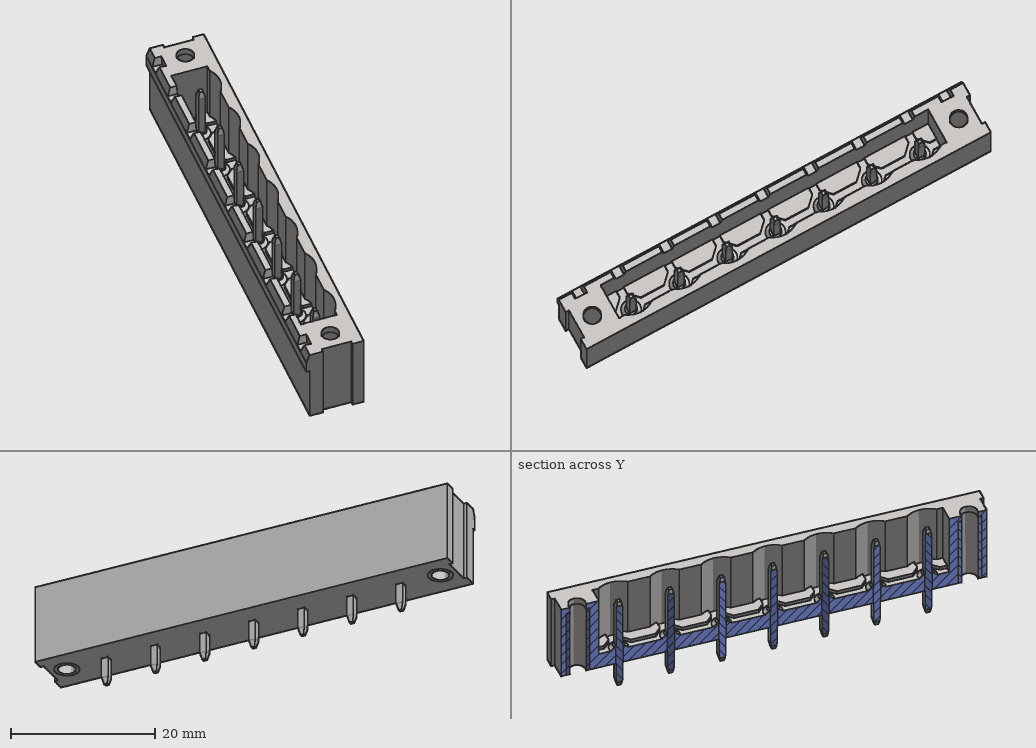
import cadquery as cq
import math


length = 63.9
height = 11.95
back_y = 3.85
front_y = -4.15

lip_y = -4.65
lip_height = 3.15
lip_chamfer_height = 1.35

end_recess_depth = 0.5
end_recess_width = 4.35

pin_count = 7
pitch = 7.6
pin_xs = [(i - (pin_count - 1) / 2) * pitch for i in range(pin_count)]

cavity_length = 51.8
cavity_front_y = -3.2
cavity_back_y = 2.1
scallop_radius = 3.7
scallop_back_y = 2.8
scallop_center_y = scallop_back_y - scallop_radius
floor_z = 3.0

groove_depth = 0.5
groove_front_y = -0.75
groove_back_y = 0.4
front_slot_width = 1.15
back_slot_width = 1.9
flare_width = 3.95

collar_base_diameter = 2.8
collar_top_diameter = 1.7
collar_height = 0.5

notch_top_width = 1.9
notch_bottom_width = 1.3
notch_depth = 1.3

mount_x = 28.95
mount_xs = [-mount_x, mount_x]
bore_diameter = 2.5
sleeve_diameter = 3.5
sleeve_top_z = height - 1.0

pin_width = 1.0
pin_tip_width = 0.5
pin_taper_length = 1.0
pin_bottom_z = -4.0
pin_top_z = height - 1.15


def box_between(x_min, x_max, y_min, y_max, z_min, z_max):
    """Box given by its limits along each axis."""
    return (
        cq.Workplane("XY", origin=((x_min + x_max) / 2, (y_min + y_max) / 2, z_min))
        .rect(x_max - x_min, y_max - y_min)
        .extrude(z_max - z_min)
    )


def make_block():
    """Housing profile with the chamfered lip, recessed at both ends."""
    lip_bottom_z = height - lip_height
    chamfer_bottom_z = height - lip_chamfer_height
    profile = [
        (back_y, 0),
        (back_y, height),
        (front_y, height),
        (lip_y, chamfer_bottom_z),
        (lip_y, lip_bottom_z),
        (front_y, lip_bottom_z),
        (front_y, 0),
    ]
    block = cq.Workplane("YZ").polyline(profile).close().extrude(length / 2, both=True)
    for side in (-1, 1):
        recess = cq.Workplane("XY").center(side * length / 2, 0).rect(2 * end_recess_depth, end_recess_width)
        block = block.cut(recess.extrude(height))
    return block


def make_cavity():
    """Straight-sided pocket with a round scallop in the back wall behind each pin."""
    half_length = cavity_length / 2
    cavity = box_between(-half_length, half_length, cavity_front_y, cavity_back_y, floor_z, height)
    for x in pin_xs:
        round_post = (
            cq.Workplane("XY", origin=(x, scallop_center_y, floor_z))
            .circle(scallop_radius)
            .extrude(height - floor_z)
        )
        wall_zone = box_between(
            x - scallop_radius, x + scallop_radius, cavity_back_y, scallop_back_y, floor_z, height
        )
        scallop = round_post.intersect(wall_zone)
        cavity = cavity.union(scallop)
    return cavity


def make_floor_grooves():
    """Groove along the row, flared around each pin with slots to the front and back walls."""
    groove_z = floor_z - groove_depth
    half_length = cavity_length / 2
    grooves = box_between(-half_length, half_length, groove_front_y, groove_back_y, groove_z, floor_z)
    front_half = front_slot_width / 2
    back_half = back_slot_width / 2
    flare_half = flare_width / 2
    front_corner_y = groove_front_y - (flare_half - front_half)
    back_corner_y = groove_back_y + (flare_half - back_half)
    slot_end_y = scallop_center_y + math.sqrt(scallop_radius**2 - back_half**2)
    right_edge = [
        (front_half, cavity_front_y),
        (front_half, front_corner_y),
        (flare_half, groove_front_y),
        (flare_half, groove_back_y),
        (back_half, back_corner_y),
        (back_half, slot_end_y),
    ]
    left_edge = [(-x, y) for x, y in reversed(right_edge)]
    for x in pin_xs:
        flare = (
            cq.Workplane("XY", origin=(x, 0, groove_z))
            .polyline(right_edge)
            .threePointArc((0, scallop_back_y), left_edge[0])
            .polyline(left_edge, includeCurrent=False)
            .close()
            .extrude(groove_depth)
        )
        grooves = grooves.union(flare)
    return grooves


def make_collar(x):
    """Cone frustum standing on the groove floor."""
    return (
        cq.Workplane("XY", origin=(x, 0, floor_z - groove_depth))
        .circle(collar_base_diameter / 2)
        .workplane(offset=collar_height)
        .circle(collar_top_diameter / 2)
        .loft()
    )


def make_notch(x):
    """Tapered notch through the front wall and lip, open at the top."""
    bottom_half = notch_bottom_width / 2
    top_half = notch_top_width / 2
    notch_z = height - notch_depth
    return (
        cq.Workplane("XZ", origin=(x, cavity_front_y, 0))
        .polyline([(-bottom_half, notch_z), (bottom_half, notch_z), (top_half, height), (-top_half, height)])
        .close()
        .extrude(cavity_front_y - lip_y)
    )


def make_pin(x):
    """Square pin tapering to a smaller square at both ends."""
    shank_bottom_z = pin_bottom_z + pin_taper_length
    shank_top_z = pin_top_z - pin_taper_length
    shank_length = shank_top_z - shank_bottom_z
    shank = cq.Workplane("XY", origin=(x, 0, shank_bottom_z)).rect(pin_width, pin_width).extrude(shank_length)
    pin = shank
    for direction, taper_start_z in ((1, shank_top_z), (-1, shank_bottom_z)):
        tip = (
            cq.Workplane("XY", origin=(x, 0, taper_start_z))
            .rect(pin_width, pin_width)
            .workplane(offset=direction * pin_taper_length)
            .rect(pin_tip_width, pin_tip_width)
            .loft()
        )
        pin = pin.union(tip)
    return pin


def make_sleeve(x):
    """Plain sleeve with the same bore as the hole above it."""
    return (
        cq.Workplane("XY", origin=(x, 0, 0))
        .circle(sleeve_diameter / 2)
        .circle(bore_diameter / 2)
        .extrude(sleeve_top_z)
    )


def make_housing():
    """Block with its cavity, collars, notches and openings for the pins and sleeves."""
    housing = make_block().cut(make_cavity()).cut(make_floor_grooves())
    for x in pin_xs:
        housing = housing.union(make_collar(x)).cut(make_pin(x))
    for x in pin_xs + mount_xs:
        housing = housing.cut(make_notch(x))
    for x in mount_xs:
        bore = cq.Workplane("XY").center(x, 0).circle(bore_diameter / 2).extrude(height)
        sleeve_pocket = cq.Workplane("XY").center(x, 0).circle(sleeve_diameter / 2).extrude(sleeve_top_z)
        housing = housing.cut(bore).cut(sleeve_pocket)
    return housing


housing = make_housing()
pins = [make_pin(x) for x in pin_xs]
sleeves = [make_sleeve(x) for x in mount_xs]

result = cq.Compound.makeCompound(
    [
        housing.val(),
        *[pin.val() for pin in pins],
        *[sleeve.val() for sleeve in sleeves],
    ]
)